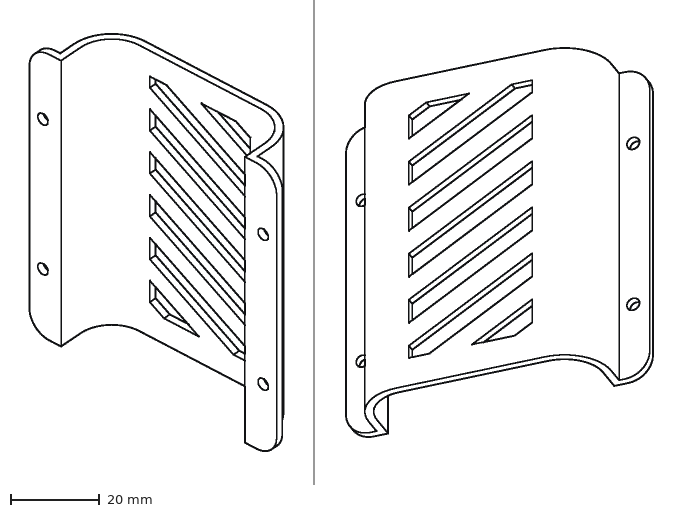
import cadquery as cq
import math

length = 80.0
width = 74.0
height = 18.0
thickness = 2.0
channel_inner_width = 55.0
bend_inner_radius = 9.4
flange_corner_radius = 6.0

hole_diameter = 3.0
hole_spacing_x = 65.9
hole_spacing_z = 41.9

window_width = 30.0
window_length = 65.6
slot_count = 7
slot_pitch_z = 12.0
slot_width = 5.2
slot_angle = 30.0

bend_outer_radius = bend_inner_radius + thickness
channel_outer_width = channel_inner_width + 2 * thickness
flange_width = (width - channel_inner_width) / 2


def arch(arch_width, arch_height, bend_radius):
    """Solid bar standing on Y = 0, with its two upper long edges rounded."""
    return (
        cq.Workplane("XY")
        .box(arch_width, arch_height, length, centered=(True, False, True))
        .edges("|Z and >Y")
        .fillet(bend_radius)
    )


def flange(side):
    """Flat mounting strip with rounded outer corners; side is -1 or 1 along X."""
    center_x = side * (width - flange_width) / 2
    outer_edges = "|Y and >X" if side > 0 else "|Y and <X"
    return (
        cq.Workplane("XY")
        .box(flange_width, thickness, length, centered=(True, False, True))
        .edges(outer_edges)
        .fillet(flange_corner_radius)
        .translate((center_x, 0, 0))
    )


def slot_cutter():
    """Parallel bars descending toward +X, limited to the window outline."""
    window = cq.Workplane("XY").box(window_width, 2 * height, window_length)
    bar_length = 2 * window_width / math.cos(math.radians(slot_angle))
    bar = (
        cq.Workplane("XY")
        .box(bar_length, height, slot_width)
        .rotate((0, 0, 0), (0, 1, 0), slot_angle)
    )
    bars = cq.Workplane("XY")
    for index in range(slot_count):
        offset_z = (index - (slot_count - 1) / 2) * slot_pitch_z
        bars = bars.add(bar.translate((0, height, offset_z)))
    return bars.combine().intersect(window)


channel = arch(channel_outer_width, height, bend_outer_radius).cut(
    arch(channel_inner_width, height - thickness, bend_inner_radius)
)

bracket = channel.union(flange(-1)).union(flange(1))

holes = (
    cq.Workplane("XZ")
    .rect(hole_spacing_x, hole_spacing_z, forConstruction=True)
    .vertices()
    .circle(hole_diameter / 2)
    .extrude(-thickness)
)

result = bracket.cut(holes).cut(slot_cutter())